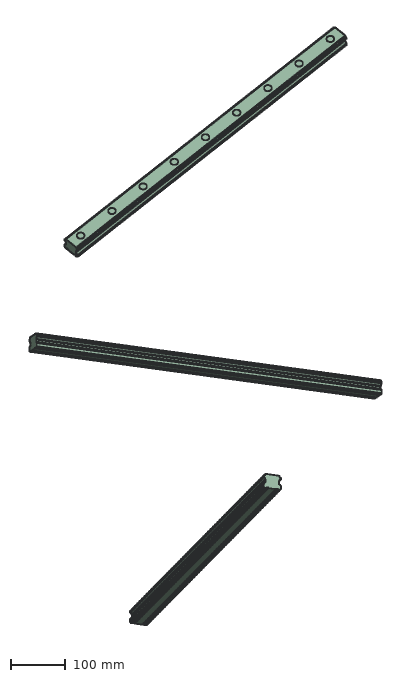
import cadquery as cq

length = 690.0
width = 34.0
height = 27.5
half_width = width / 2

top_half_width = 13.5
top_bevel_width = 0.6
top_bevel_drop = 1.6
nose_top_level = 22.8
nose_bottom_level = 21.0
nose_chamfer = 0.65
track_sag = 0.5

waist_half_width = 13.0
waist_top_level = 15.2
waist_bottom_level = 11.5
lower_bevel_width = 0.8
lower_bevel_rise = 1.6

foot_top_level = 7.4
foot_chamfer_width = 2.1
foot_chamfer_height = 1.9

base_groove_offset = 9.3
base_groove_width = 3.0
base_groove_depth = 1.2

hole_count = 9
hole_pitch = 80.0
cap_diameter = 14.0
cap_depth = 0.5


def hollow_point(start, end, inward, downward):
    """Point on a hollow between two section points, moved off the chord's middle."""
    return ((start[0] + end[0]) / 2 - inward, (start[1] + end[1]) / 2 - downward)


def make_half_rail():
    """Extrude the +X half of the rail section along Y, centred on the origin."""
    foot_corner = (half_width, foot_top_level)
    waist_bottom = (waist_half_width, waist_bottom_level)
    lower_track_bottom = (waist_half_width + lower_bevel_width, waist_top_level + lower_bevel_rise)
    lower_track_top = (half_width - nose_chamfer, nose_bottom_level - nose_chamfer)
    upper_track_bottom = (half_width - nose_chamfer, nose_top_level + nose_chamfer)
    upper_track_top = (top_half_width + top_bevel_width, height - top_bevel_drop)
    section = (
        cq.Workplane("XZ")
        .lineTo(half_width - foot_chamfer_width, 0)
        .lineTo(half_width, foot_chamfer_height)
        .lineTo(*foot_corner)
        .lineTo(*waist_bottom)
        .lineTo(waist_half_width, waist_top_level)
        .lineTo(*lower_track_bottom)
        .threePointArc(
            hollow_point(lower_track_bottom, lower_track_top, track_sag, -track_sag), lower_track_top
        )
        .lineTo(half_width, nose_bottom_level)
        .lineTo(half_width, nose_top_level)
        .lineTo(*upper_track_bottom)
        .threePointArc(
            hollow_point(upper_track_bottom, upper_track_top, track_sag, track_sag), upper_track_top
        )
        .lineTo(top_half_width, height)
        .lineTo(0, height)
        .close()
    )
    return section.extrude(length / 2, both=True)


def make_base_grooves():
    """Two rectangular grooves running the full length of the underside."""
    return (
        cq.Workplane("XY")
        .rarray(2 * base_groove_offset, 1, 2, 1)
        .rect(base_groove_width, length)
        .extrude(base_groove_depth)
    )


def make_cap_recesses():
    """Shallow round recesses, evenly spaced along the top face."""
    return (
        cq.Workplane("XY", origin=(0, 0, height - cap_depth))
        .rarray(1, hole_pitch, 1, hole_count)
        .circle(cap_diameter / 2)
        .extrude(cap_depth)
    )


half_rail = make_half_rail()
rail = half_rail.union(half_rail.mirror("YZ"))
result = rail.cut(make_base_grooves()).cut(make_cap_recesses())